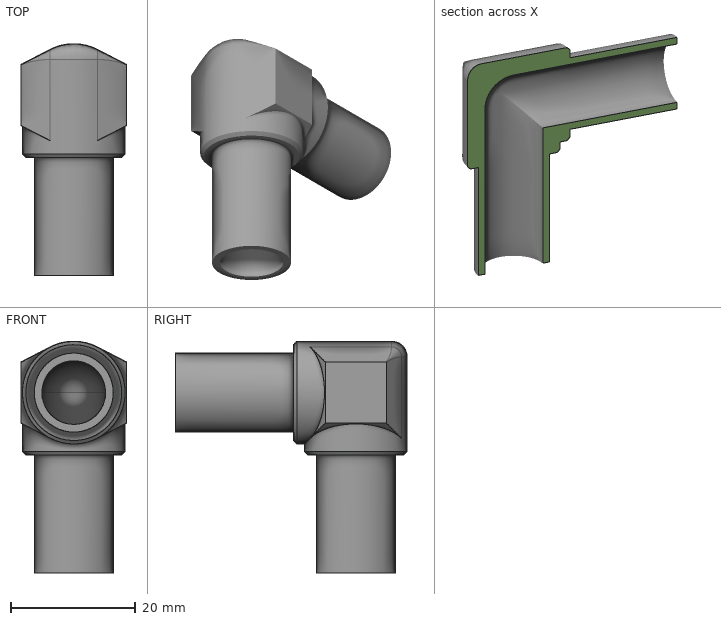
import cadquery as cq
import math

bore_diameter = 10.2
tube_diameter = 12.7
collar_diameter = 16.5
arm_length = 29.0
collar_length = 10.0
collar_chamfer = 0.55
block_width = 17.0
flat_size = 9.8
bend_radius = 2.5
cut_margin = 1.0

collar_radius = collar_diameter / 2
half_width = block_width / 2
half_flat = flat_size / 2
bend_center = collar_radius - bend_radius

tangent_angle = math.atan2(half_flat, half_width) + math.acos(
    collar_radius / math.hypot(half_width, half_flat)
)
tangent_x = collar_radius * math.cos(tangent_angle)
tangent_rise = collar_radius * math.sin(tangent_angle)
cut_outer = collar_radius + cut_margin


def along_arms(length, diameter, chamfer=0.0):
    """Two cylinders from the origin, one along -Z and one along -Y."""
    down = cq.Workplane("XY").circle(diameter / 2).extrude(-length)
    if chamfer:
        down = down.faces("<Z").chamfer(chamfer)
    forward = down.rotate((0, 0, 0), (1, 0, 0), -90)
    return down.union(forward)


def block_prism(plane):
    """Collar cylinder widened to the two flats by tangent planes, as a long prism."""
    tangent_outline = [
        (half_width, -half_flat),
        (half_width, half_flat),
        (tangent_x, tangent_rise),
        (-tangent_x, tangent_rise),
        (-half_width, half_flat),
        (-half_width, -half_flat),
        (-tangent_x, -tangent_rise),
        (tangent_x, -tangent_rise),
    ]
    cylinder = cq.Workplane(plane).circle(collar_radius).extrude(block_width, both=True)
    wedges = cq.Workplane(plane).polyline(tangent_outline).close().extrude(block_width, both=True)
    return wedges.union(cylinder)


def middle_bend_cutter():
    """Waste outside the round outer corner, between the tangent lines."""
    cut_size = cut_outer - bend_center
    waste = cq.Workplane("XY").box(
        2 * tangent_x, cut_size, cut_size, centered=(True, False, False)
    )
    waste = waste.translate((0, bend_center, bend_center))
    bend = (
        cq.Workplane("XY", origin=(0, bend_center, bend_center))
        .moveTo(-tangent_x, 0)
        .lineTo(-tangent_x, tangent_rise - bend_center)
        .threePointArc((0, bend_radius), (tangent_x, tangent_rise - bend_center))
        .lineTo(tangent_x, 0)
        .close()
        .revolve(90, (0, 0), (1, 0))
    )
    return waste.cut(bend)


def side_bend_cutter():
    """Waste outside the rounding that fades from the bend to the corner of a flat."""
    start_radius = tangent_rise - bend_center
    drop = tangent_rise - half_flat
    fade_stations = (1.0, 0.75, 0.5, 0.25, 0.01)
    sections = []
    for fade in fade_stations:
        x = half_width - fade * (half_width - tangent_x)
        face = half_flat + fade * drop
        radius = fade * (2 * start_radius - drop) + fade**2 * (drop - start_radius)
        center = face - radius
        middle = center + radius * math.sqrt(0.5)
        section = (
            cq.Workplane("YZ", origin=(x, 0, 0))
            .moveTo(center, face)
            .threePointArc((middle, middle), (face, center))
            .lineTo(cut_outer, center)
            .lineTo(cut_outer, cut_outer)
            .lineTo(center, cut_outer)
            .close()
        )
        sections.append(section.val())
    return cq.Workplane(cq.Solid.makeLoft(sections))


def bore():
    """Both bores, meeting in a ball at the bend."""
    return along_arms(arm_length, bore_diameter).union(cq.Workplane("XY").sphere(bore_diameter / 2))


block = block_prism("XY").intersect(block_prism("XZ"))
block = block.cut(middle_bend_cutter())
side_cutter = side_bend_cutter()
block = block.cut(side_cutter).cut(side_cutter.mirror("YZ"))

collars = along_arms(collar_length, collar_diameter, collar_chamfer)
tubes = along_arms(arm_length, tube_diameter)
result = block.union(collars).union(tubes).cut(bore())